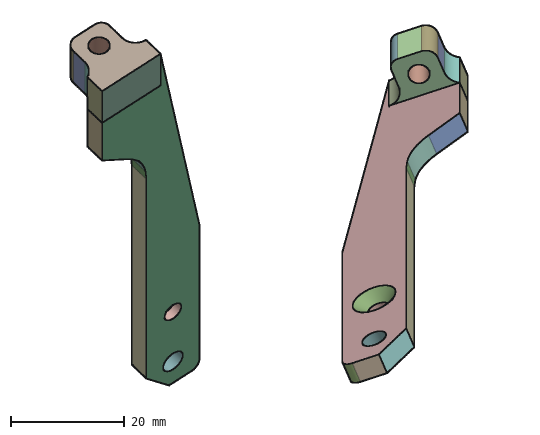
import cadquery as cq
import math

total_height = 95.4
total_depth = 22.2
total_width = 12.5

arm_thickness = 4.1
arm_outer_face = total_width - arm_thickness
shank_front = 10.1
neck_front_bottom = 75.7
neck_angle = math.radians(36)
neck_arc_start = 5.9
facet_top_z = 64.75
facet_bottom_z = 62.5
facet_offset = 0.2
taper_bottom = 40.0
foot_chamfer_depth = 5.15
foot_chamfer_height = 6.0
foot_radius = 1.9

hole_y = (shank_front + total_depth) / 2
lower_hole_z = 6.1
lower_hole_diameter = 4.5
screw_hole_z = 20.1
screw_hole_diameter = 3.8
countersink_diameter = 8.1
countersink_angle = 90

head_height = 9.0
head_bottom = total_height - head_height
head_depth = 13.35
lug_front = 1.8
lug_back = 10.4
lug_front_radius = 2.3
lug_back_radius = 1.8
root_radius = head_depth - lug_back
lug_root_x = arm_outer_face - root_radius
head_hole_x = 4.2
head_hole_y = (lug_front + lug_back) / 2
head_hole_diameter = 3.8


def make_arm():
    facet_top = (shank_front - facet_offset, facet_top_z)
    arc_start = (neck_arc_start, neck_front_bottom - neck_arc_start * math.tan(neck_angle))

    arm = (
        cq.Workplane("YZ", origin=(arm_outer_face, 0, 0))
        .moveTo(shank_front + foot_chamfer_depth, 0)
        .lineTo(total_depth - foot_radius, 0)
        .radiusArc((total_depth, foot_radius), -foot_radius)
        .lineTo(total_depth, taper_bottom)
        .lineTo(head_depth, total_height)
        .lineTo(head_depth, head_bottom)
        .lineTo(0, head_bottom)
        .lineTo(0, neck_front_bottom)
        .lineTo(*arc_start)
        .tangentArcPoint(facet_top, relative=False)
        .lineTo(shank_front, facet_bottom_z)
        .lineTo(shank_front, foot_chamfer_height)
        .close()
        .extrude(arm_thickness)
    )
    outer_face = cq.Workplane("YZ", origin=(arm_outer_face, 0, 0))
    lower_hole = (
        outer_face.center(hole_y, lower_hole_z).circle(lower_hole_diameter / 2).extrude(arm_thickness)
    )
    screw_hole = (
        outer_face.center(hole_y, screw_hole_z).circle(screw_hole_diameter / 2).extrude(arm_thickness)
    )
    countersink_depth = (countersink_diameter - screw_hole_diameter) / 2 / math.tan(
        math.radians(countersink_angle / 2)
    )
    countersink = cq.Workplane(
        cq.Solid.makeCone(
            countersink_diameter / 2,
            screw_hole_diameter / 2,
            countersink_depth,
            pnt=cq.Vector(arm_outer_face, hole_y, screw_hole_z),
            dir=cq.Vector(1, 0, 0),
        )
    )
    return arm.cut(lower_hole).cut(screw_hole).cut(countersink)


def make_head():
    profile = (
        cq.Workplane("XY", origin=(0, 0, head_bottom))
        .moveTo(total_width, 0)
        .lineTo(total_width, head_depth)
        .lineTo(arm_outer_face, head_depth)
        .radiusArc((lug_root_x, lug_back), root_radius)
        .lineTo(lug_back_radius, lug_back)
        .radiusArc((0, lug_back - lug_back_radius), -lug_back_radius)
        .lineTo(0, lug_front + lug_front_radius)
        .radiusArc((lug_front_radius, lug_front), -lug_front_radius)
        .lineTo(lug_root_x, lug_front)
        .tangentArcPoint((arm_outer_face, 0), relative=False)
        .close()
    )
    hole = (
        cq.Workplane("XY", origin=(head_hole_x, head_hole_y, head_bottom))
        .circle(head_hole_diameter / 2)
        .extrude(head_height)
    )
    return profile.extrude(head_height).cut(hole)


arm = make_arm()
head = make_head()

result = cq.Compound.makeCompound([arm.val(), head.val()])